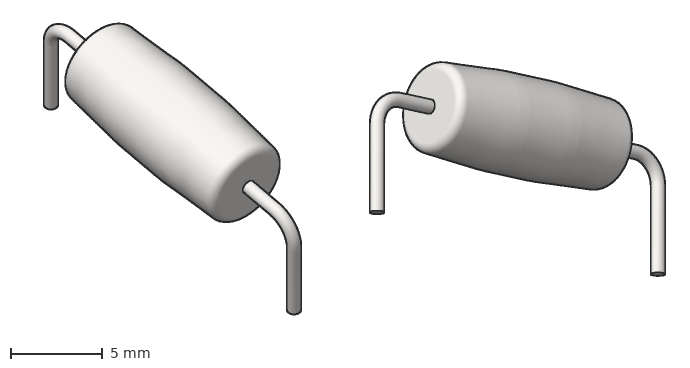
import cadquery as cq
import math

overall_length = 21.18
overall_height = 9.4

barrel_length = 12.7
barrel_radius = 2.8
end_radius = 2.52
middle_half_length = 1.5
blend_length = 0.7
end_rounding = 0.5

wire_diameter = 0.8
bend_radius = 1.63

half_length = barrel_length / 2
wire_radius = wire_diameter / 2
lead_x = overall_length / 2 - wire_radius
lead_bottom = barrel_radius - overall_height


def make_barrel():
    """Revolve a profile with a cylindrical middle, tapered ends and rounded rims."""
    tangent_x = middle_half_length + blend_length / 2
    taper = math.atan2(barrel_radius - end_radius, half_length - tangent_x)
    blend_radius = blend_length / math.sin(taper)
    blend_drop = blend_radius * (1 - math.cos(taper))
    half_drop = blend_radius * (math.cos(taper / 2) - 1)
    blend_mid_x = middle_half_length + blend_radius * math.sin(taper / 2)
    blend_end = (middle_half_length + blend_length, barrel_radius - blend_drop)

    centre_x = half_length - end_rounding
    cone_radius = end_radius + end_rounding * math.tan(taper)
    centre_r = cone_radius - end_rounding / math.cos(taper)

    def on_rounding(angle):
        return (
            centre_x + end_rounding * math.cos(angle),
            centre_r + end_rounding * math.sin(angle),
        )

    cone_angle = math.pi / 2 - taper
    blend_start = (middle_half_length, barrel_radius)
    blend_mid = (blend_mid_x, barrel_radius + half_drop)
    rounding_start = on_rounding(cone_angle)
    rounding_mid = on_rounding(cone_angle / 2)
    rounding_end = on_rounding(0)

    def mirrored(point):
        return (-point[0], point[1])

    profile = (
        cq.Workplane("XY")
        .moveTo(-half_length, 0)
        .lineTo(*mirrored(rounding_end))
        .threePointArc(mirrored(rounding_mid), mirrored(rounding_start))
        .lineTo(*mirrored(blend_end))
        .threePointArc(mirrored(blend_mid), mirrored(blend_start))
        .lineTo(*blend_start)
        .threePointArc(blend_mid, blend_end)
        .lineTo(*rounding_start)
        .threePointArc(rounding_mid, rounding_end)
        .lineTo(half_length, 0)
        .close()
    )
    return profile.revolve(360, (0, 0, 0), (1, 0, 0))


def make_lead(side):
    """Sweep one wire from a barrel end face outwards and down; side is -1 or 1."""
    bend_start_x = lead_x - bend_radius
    bend_mid_x = bend_start_x + bend_radius * math.sin(math.pi / 4)
    bend_mid_z = bend_radius * (math.cos(math.pi / 4) - 1)
    path = (
        cq.Workplane("XZ")
        .moveTo(side * half_length, 0)
        .lineTo(side * bend_start_x, 0)
        .threePointArc((side * bend_mid_x, bend_mid_z), (side * lead_x, -bend_radius))
        .lineTo(side * lead_x, lead_bottom)
    )
    end_face = cq.Workplane("YZ", origin=(side * half_length, 0, 0))
    return end_face.circle(wire_radius).sweep(path)


barrel = make_barrel()
leads = [make_lead(side) for side in (-1, 1)]

result = cq.Compound.makeCompound([barrel.val(), *[lead.val() for lead in leads]])